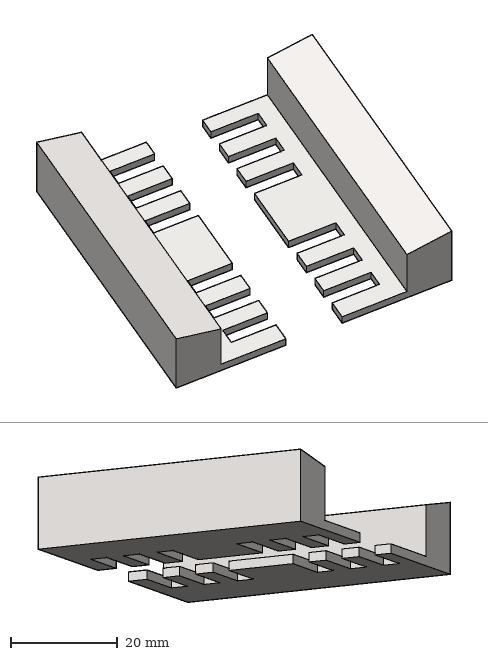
import cadquery as cq
import math

length = 56.0
overall_depth = 58.27
height = 13.76

jaw_depth = 23.2
wall_thickness = 9.5
plate_thickness = 1.8

rear_top_slope = 10.0
front_top_slope = 12.5

slot_width = 3.4
left_slot_count = 3
left_slot_pitch = 7.05
first_slot_start = 3.35
left_slot_starts = [first_slot_start + i * left_slot_pitch for i in range(left_slot_count)]
right_slot_starts = [34.5, 41.65, 48.6]
slot_starts = left_slot_starts + right_slot_starts
rear_slot_depth = 10.0
front_slot_depth = 9.45


def make_jaw(side, top_slope, slot_depth):
    """Jaw with a sloping wall and a slotted plate; side is +1 for the +Y jaw, -1 for the -Y jaw."""
    outer_y = side * overall_depth / 2
    wall_y = outer_y - side * wall_thickness
    tip_y = outer_y - side * jaw_depth
    wall_inner_height = height - wall_thickness * math.tan(math.radians(top_slope))

    profile = [
        (outer_y, 0),
        (outer_y, height),
        (wall_y, wall_inner_height),
        (wall_y, plate_thickness),
        (tip_y, plate_thickness),
        (tip_y, 0),
    ]
    jaw = cq.Workplane("YZ", origin=(-length / 2, 0, 0)).polyline(profile).close().extrude(length)

    slot_centre_y = tip_y + side * slot_depth / 2
    slot_centres = [(start + slot_width / 2 - length / 2, slot_centre_y) for start in slot_starts]
    slots = (
        cq.Workplane("XY")
        .pushPoints(slot_centres)
        .rect(slot_width, slot_depth)
        .extrude(plate_thickness)
    )
    return jaw.cut(slots).solids()


rear_jaw = make_jaw(1, rear_top_slope, rear_slot_depth)
front_jaw = make_jaw(-1, front_top_slope, front_slot_depth)

result = cq.Compound.makeCompound([rear_jaw.val(), front_jaw.val()])